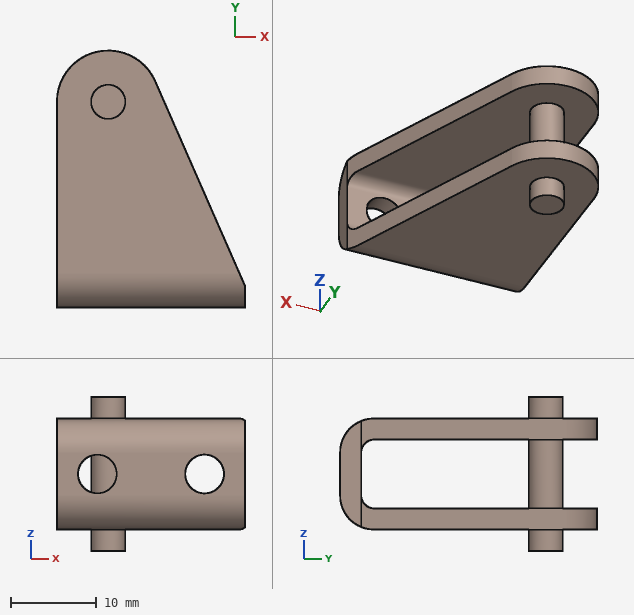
import cadquery as cq
import math

length = 30.0
width = 22.0
height = 13.0
wall = 2.5
bend_radius = 4.0
inner_bend_radius = bend_radius - wall

nose_radius = 6.0
pin_diameter = 4.0
pin_length = 18.0
pin_x = nose_radius
pin_y = length - nose_radius

side_edge_length = 2.5
hole_diameter = 4.5
hole_inset = 4.75


def side_profile():
    """Plate outline: a round nose joined tangentially to a sloping edge."""
    dx = width - pin_x
    dy = side_edge_length - pin_y
    tangent_angle = math.atan2(dy, dx) + math.acos(nose_radius / math.hypot(dx, dy))
    middle_angle = (tangent_angle + math.pi) / 2

    def on_nose(angle):
        return (pin_x + nose_radius * math.cos(angle), pin_y + nose_radius * math.sin(angle))

    return (
        cq.Workplane("XY")
        .workplane(offset=-height / 2)
        .moveTo(0, 0)
        .lineTo(width, 0)
        .lineTo(width, side_edge_length)
        .lineTo(*on_nose(tangent_angle))
        .threePointArc(on_nose(middle_angle), on_nose(math.pi))
        .close()
        .extrude(height)
    )


def channel():
    """Bent U strip: two plates joined by a web at Y = 0, open at +Y."""
    outer = (
        cq.Workplane("XY")
        .box(width, length, height, centered=(False, False, True))
        .edges("|X and <Y")
        .fillet(bend_radius)
    )
    inner = (
        cq.Workplane("XY")
        .box(width, length, height - 2 * wall, centered=(False, False, True))
        .edges("|X and <Y")
        .fillet(inner_bend_radius)
        .translate((0, wall, 0))
    )
    return outer.cut(inner)


def web_holes():
    """Two mounting holes through the web only."""
    return (
        cq.Workplane("XZ")
        .pushPoints([(hole_inset, 0), (width - hole_inset, 0)])
        .circle(hole_diameter / 2)
        .extrude(-wall)
    )


def pin():
    """Cross pin through both plates, protruding equally at each end."""
    return (
        cq.Workplane("XY")
        .center(pin_x, pin_y)
        .circle(pin_diameter / 2)
        .extrude(pin_length / 2, both=True)
    )


bracket = channel().intersect(side_profile()).cut(web_holes())
result = bracket.union(pin())